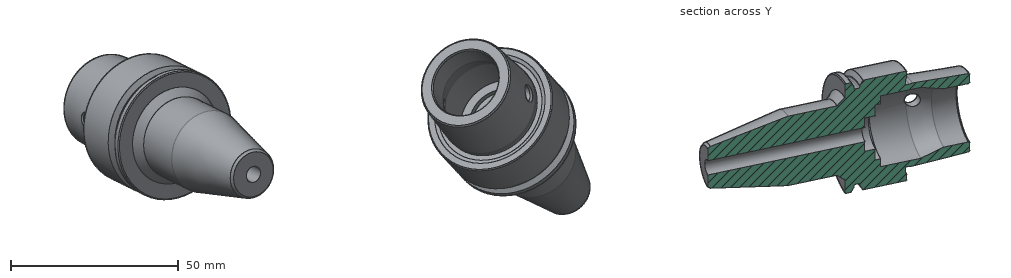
import cadquery as cq
import math

total_length = 83.4
edge_break = 0.3

shank_length = 20.0
shank_nose_radius = 28.6 / 2
shank_nose_chamfer = 0.4
shank_gauge_radius = 15.2
taper_end_x = 18.35
neck_start_x = 19.35
neck_radius = 15.0

flange_radius = 40.0 / 2
flange_end_x = 39.8
recess_outer_radius = 17.7
recess_inner_radius = 16.5
recess_depth = 0.4
groove_start_x = 34.05
groove_end_x = 37.8
groove_flank_width = 1.0
groove_shoulder_radius = 18.3
groove_floor_radius = 34.8 / 2
groove_fillet = 0.4

collar_radius = 15.0
body_start_x = 42.3
body_radius = 12.7
body_end_x = 57.9
tip_radius = 7.7
tip_chamfer_length = 0.8
tip_chamfer_height = 0.7

bore_mouth_radius = 10.85
bore_radius = 10.5
mouth_chamfer = 0.5
bore_depth = 8.35
undercut_radius = 12.8
undercut_angle = 17.2
undercut_length = (undercut_radius - bore_radius) / math.tan(math.radians(undercut_angle))
undercut_start_x = bore_depth + undercut_length
undercut_end_x = 28.4
inner_bore_radius = 9.9
inner_bore_depth = 30.0
relief_radius = 11.9 / 2
relief_depth = 33.4
through_radius = 2.5

cross_hole_x = 13.8
cross_hole_diameter = 4.6
countersink_diameter = 5.8
countersink_depth = 0.6


def make_body():
    """Solid of revolution: shank, flange, gripper groove and nose."""
    floor_start_x = groove_start_x + groove_flank_width
    floor_end_x = groove_end_x - groove_flank_width
    fillet_top = groove_floor_radius + groove_fillet
    arc_offset = groove_fillet * (1 - 0.5 ** 0.5)
    arc_mid_radius = groove_floor_radius + arc_offset
    profile = (
        cq.Workplane("XZ")
        .moveTo(0, 0)
        .lineTo(0, shank_nose_radius - shank_nose_chamfer)
        .lineTo(shank_nose_chamfer, shank_nose_radius)
        .lineTo(taper_end_x, shank_gauge_radius)
        .lineTo(neck_start_x, neck_radius)
        .lineTo(shank_length + recess_depth, neck_radius)
        .lineTo(shank_length + recess_depth, recess_inner_radius)
        .lineTo(shank_length, recess_outer_radius)
        .lineTo(shank_length, flange_radius - edge_break)
        .lineTo(shank_length + edge_break, flange_radius)
        .lineTo(groove_start_x, flange_radius)
        .lineTo(floor_start_x, groove_shoulder_radius)
        .lineTo(floor_start_x, fillet_top)
        .threePointArc(
            (floor_start_x + arc_offset, arc_mid_radius),
            (floor_start_x + groove_fillet, groove_floor_radius),
        )
        .lineTo(floor_end_x - groove_fillet, groove_floor_radius)
        .threePointArc(
            (floor_end_x - arc_offset, arc_mid_radius),
            (floor_end_x, fillet_top),
        )
        .lineTo(floor_end_x, groove_shoulder_radius)
        .lineTo(groove_end_x, flange_radius)
        .lineTo(flange_end_x - edge_break, flange_radius)
        .lineTo(flange_end_x, flange_radius - edge_break)
        .lineTo(flange_end_x, collar_radius)
        .lineTo(body_start_x, body_radius)
        .lineTo(body_end_x, body_radius)
        .lineTo(total_length - tip_chamfer_length, tip_radius)
        .lineTo(total_length, tip_radius - tip_chamfer_height)
        .lineTo(total_length, 0)
        .close()
    )
    return profile.revolve(360, (0, 0, 0), (1, 0, 0))


def make_bore():
    """Stepped bore with a clamping undercut, running from the shank mouth through to the tip."""
    profile = (
        cq.Workplane("XZ")
        .moveTo(0, 0)
        .lineTo(0, bore_mouth_radius)
        .lineTo(mouth_chamfer, bore_radius)
        .lineTo(bore_depth, bore_radius)
        .lineTo(undercut_start_x, undercut_radius)
        .lineTo(undercut_end_x, undercut_radius)
        .lineTo(undercut_end_x, inner_bore_radius)
        .lineTo(inner_bore_depth, inner_bore_radius)
        .lineTo(inner_bore_depth, relief_radius)
        .lineTo(relief_depth, relief_radius)
        .lineTo(relief_depth, through_radius)
        .lineTo(total_length, through_radius)
        .lineTo(total_length, 0)
        .close()
    )
    return profile.revolve(360, (0, 0, 0), (1, 0, 0))


def make_cross_hole():
    """Hole along Y through both shank walls, countersunk outside."""
    hole_radius = cross_hole_diameter / 2
    sink_radius = countersink_diameter / 2
    taper_slope = (shank_gauge_radius - shank_nose_radius) / (taper_end_x - shank_nose_chamfer)
    surface_y = shank_nose_radius + taper_slope * (cross_hole_x - shank_nose_chamfer)
    half_profile = (
        cq.Workplane("XY")
        .moveTo(cross_hole_x, 0)
        .lineTo(cross_hole_x + hole_radius, 0)
        .lineTo(cross_hole_x + hole_radius, surface_y - countersink_depth)
        .lineTo(cross_hole_x + sink_radius, surface_y)
        .lineTo(cross_hole_x + sink_radius, flange_radius)
        .lineTo(cross_hole_x, flange_radius)
        .close()
    )
    half = half_profile.revolve(360, (cross_hole_x, 0, 0), (cross_hole_x, 1, 0))
    return half.union(half.mirror("XZ"))


result = make_body().cut(make_bore()).cut(make_cross_hole())